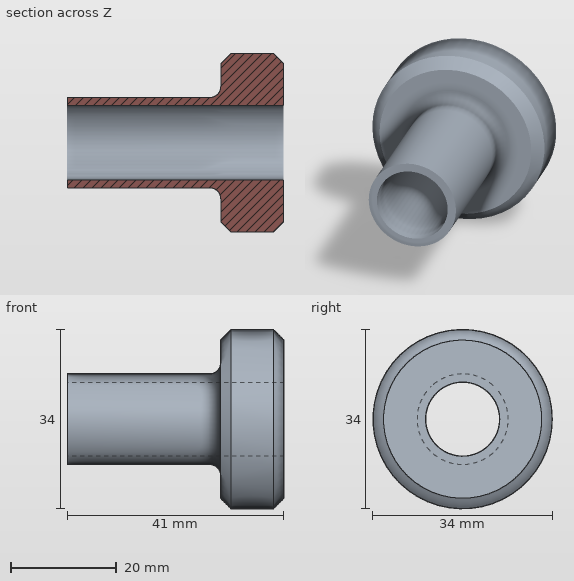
import cadquery as cq

total_length = 41.0
flange_diameter = 34.0
flange_thickness = 12.0
tube_diameter = 17.2
bore_diameter = 14.0
rim_chamfer = 2.0
neck_fillet = 2.0

tube_end_x = -total_length / 2
flange_end_x = total_length / 2
shoulder_x = flange_end_x - flange_thickness

bore_radius = bore_diameter / 2
tube_radius = tube_diameter / 2
flange_radius = flange_diameter / 2
chamfer_radius = flange_radius - rim_chamfer

half_section = (
    cq.Workplane("XY")
    .moveTo(tube_end_x, bore_radius)
    .lineTo(tube_end_x, tube_radius)
    .lineTo(shoulder_x - neck_fillet, tube_radius)
    .radiusArc((shoulder_x, tube_radius + neck_fillet), -neck_fillet)
    .lineTo(shoulder_x, chamfer_radius)
    .lineTo(shoulder_x + rim_chamfer, flange_radius)
    .lineTo(flange_end_x - rim_chamfer, flange_radius)
    .lineTo(flange_end_x, chamfer_radius)
    .lineTo(flange_end_x, bore_radius)
    .close()
)

result = half_section.revolve(360, (0, 0, 0), (1, 0, 0))